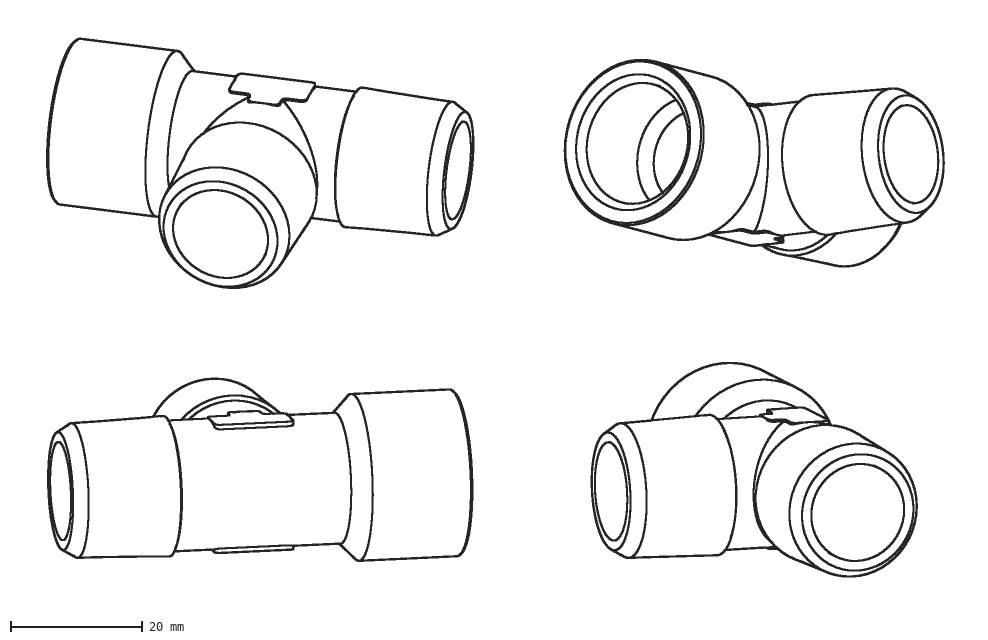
import cadquery as cq


body_radius = 10.0
bore_radius = 15.0 / 2

socket_end = 32.0
socket_radius = 25.5 / 2
socket_length = 15.6
socket_edge_chamfer = 0.3
thread_radius = 18.63 / 2
thread_depth = 15.0
mouth_radius = 20.955 / 2

spigot_end = 29.5
spigot_length = 16.75
shoulder_radius = 10.74
shoulder_cone_length = 0.3
taper_slope = 1 / 32
tip_radius = 9.0
tip_length = 2.15

pad_height = body_radius
pad_half_width = 6.15
pad_back = 3.7
pad_front = -2.4
tab_half_width = 2.5
tab_front = -4.85
pad_corner_radius = 0.8


def revolve_about_x(points):
    """Turn a closed (x, radius) outline about the X axis."""
    return cq.Workplane("XY").polyline(points).close().revolve(360, (0, 0, 0), (1, 0, 0))


def make_spigot_arm():
    """Solid arm along +X from the centre to the tip of the tapered spigot."""
    shoulder = spigot_end - spigot_length
    taper_start = shoulder + shoulder_cone_length
    tip_start = spigot_end - tip_length
    taper_end_radius = shoulder_radius - taper_slope * (tip_start - taper_start)
    return revolve_about_x([
        (0, 0),
        (0, body_radius),
        (shoulder, body_radius),
        (taper_start, shoulder_radius),
        (tip_start, taper_end_radius),
        (spigot_end, tip_radius),
        (spigot_end, 0),
    ])


def make_branch_arm():
    """Spigot arm along -Y, its inner end carried back into the run."""
    return make_spigot_arm().rotate((0, 0, 0), (0, 0, 1), -90)


def make_socket_arm():
    """Solid arm along -X, widening at 45 degrees to the socket."""
    socket_start = -socket_end + socket_length
    neck = socket_start + (socket_radius - body_radius)
    return revolve_about_x([
        (0, 0),
        (-socket_end, 0),
        (-socket_end, socket_radius - socket_edge_chamfer),
        (-socket_end + socket_edge_chamfer, socket_radius),
        (socket_start, socket_radius),
        (neck, body_radius),
        (0, body_radius),
    ])


def make_pad():
    """T-shaped pad, flat at pad_height, rising from the run axis."""
    outline = [
        (-pad_half_width, pad_back),
        (pad_half_width, pad_back),
        (pad_half_width, pad_front),
        (tab_half_width, pad_front),
        (tab_half_width, tab_front),
        (-tab_half_width, tab_front),
        (-tab_half_width, pad_front),
        (-pad_half_width, pad_front),
    ]
    pad = cq.Workplane("XY").polyline(outline).close().extrude(pad_height)
    return pad.edges("|Z").fillet(pad_corner_radius)


def make_run_bore():
    """Through bore with the socket's thread hole, 45 degree floor and mouth countersink."""
    mouth_depth = mouth_radius - thread_radius
    thread_end = -socket_end + thread_depth
    floor_end = thread_end + (thread_radius - bore_radius)
    return revolve_about_x([
        (-socket_end, 0),
        (-socket_end, mouth_radius),
        (-socket_end + mouth_depth, thread_radius),
        (thread_end, thread_radius),
        (floor_end, bore_radius),
        (spigot_end, bore_radius),
        (spigot_end, 0),
    ])


def make_branch_bore():
    """Bore from the branch tip to the run axis."""
    return cq.Workplane("XZ").circle(bore_radius).extrude(spigot_end)


top_pad = make_pad()
bottom_pad = top_pad.mirror("XY")

result = (
    make_socket_arm()
    .union(make_spigot_arm())
    .union(make_branch_arm())
    .union(top_pad)
    .union(bottom_pad)
    .cut(make_run_bore())
    .cut(make_branch_bore())
)